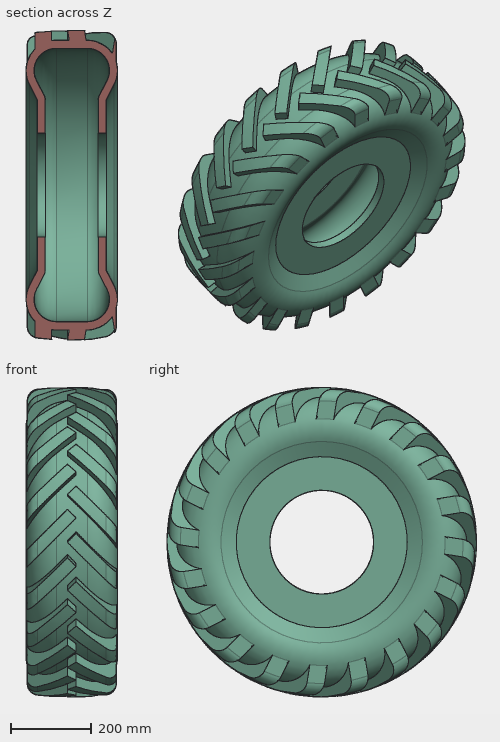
import cadquery as cq
import math

wall = 21.0
crown_half_width = 38.5
shoulder_radius = 75.5
shoulder_centre_r = 285.0
bead_radius = 250.0
disc_radius = 212.5
disc_half_width = 86.0
hole_radius = 128.5

lug_count = 20
outer_radius = 385.0
lug_half_span = 111.0
lug_overlap = 11.0
lug_slant = 45.0
lug_centre_offset = 71.0
lug_top_half_width = 85.0
lug_top_edge_radius = 380.0
lug_end_radius = 351.0

lug_width = 2 * lug_overlap / math.sin(math.radians(lug_slant))
pitch_angle = 360 / lug_count
crown_radius = shoulder_centre_r + shoulder_radius
sidewall_half_width = crown_half_width + shoulder_radius


def revolve_about_axle(outline):
    return outline.revolve(360, (0, 0, 0), (1, 0, 0))


def carcass_outline():
    """Outer tyre section in the XY plane: X along the axle, Y the radius."""
    bead_drop = bead_radius - shoulder_centre_r
    bead_half_width = crown_half_width + math.sqrt(shoulder_radius**2 - bead_drop**2)
    return (
        cq.Workplane("XY")
        .moveTo(-disc_half_width, 0)
        .lineTo(-disc_half_width, disc_radius)
        .lineTo(-bead_half_width, bead_radius)
        .threePointArc((-sidewall_half_width, shoulder_centre_r), (-crown_half_width, crown_radius))
        .lineTo(crown_half_width, crown_radius)
        .threePointArc((sidewall_half_width, shoulder_centre_r), (bead_half_width, bead_radius))
        .lineTo(disc_half_width, disc_radius)
        .lineTo(disc_half_width, 0)
        .close()
    )


def make_shell():
    body = revolve_about_axle(carcass_outline())
    cavity = revolve_about_axle(carcass_outline().offset2D(-wall))
    hole = cq.Workplane("YZ").circle(hole_radius).extrude(sidewall_half_width, both=True)
    return body.cut(cavity).cut(hole)


def make_tread_band():
    """Ring holding every lug, from mid-wall of the shell out to the lug tops."""
    envelope = revolve_about_axle(
        cq.Workplane("XY")
        .moveTo(-lug_half_span, shoulder_centre_r)
        .lineTo(-lug_half_span, lug_end_radius)
        .tangentArcPoint((-lug_top_half_width, lug_top_edge_radius), relative=False)
        .threePointArc((0, outer_radius), (lug_top_half_width, lug_top_edge_radius))
        .tangentArcPoint((lug_half_span, lug_end_radius), relative=False)
        .lineTo(lug_half_span, shoulder_centre_r)
        .close()
    )
    core = revolve_about_axle(carcass_outline().offset2D(-wall / 2))
    return envelope.cut(core)


def make_left_lug(band):
    """Slanted bar on the -X side, standing up along Z and trimmed to the tread band."""
    length = 2 * sidewall_half_width
    bar = (
        cq.Workplane("XY")
        .rect(length, lug_width)
        .extrude(outer_radius)
        .translate((-length / 2, 0, 0))
        .rotate((0, 0, 0), (0, 0, 1), lug_slant)
        .translate((0, lug_centre_offset, 0))
    )
    return bar.intersect(band)


band = make_tread_band()
left_lug = make_left_lug(band)
right_lug = left_lug.mirror("YZ").rotate((0, 0, 0), (1, 0, 0), pitch_angle / 2)

lugs = []
for i in range(lug_count):
    for lug in (left_lug, right_lug):
        lugs.append(lug.rotate((0, 0, 0), (1, 0, 0), i * pitch_angle).val())

result = cq.Workplane("XY").newObject([make_shell().val().fuse(*lugs)])